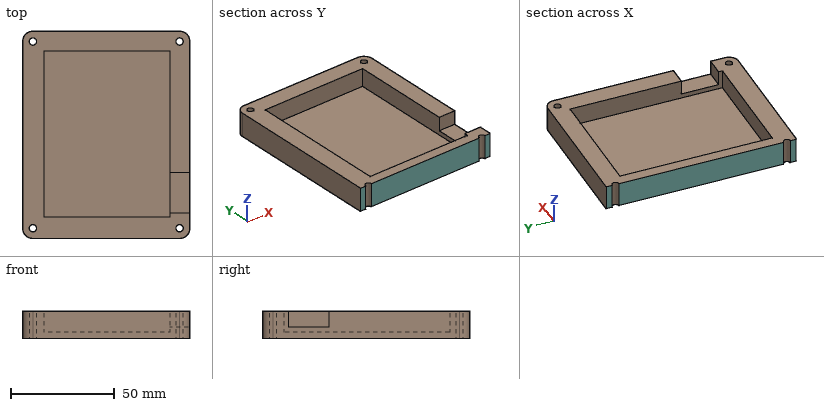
import cadquery as cq

WIDTH = 80.6
LENGTH = 99.8
HEIGHT = 13.2
CORNER_RADIUS = 5.0

HOLE_DIAMETER = 3.4

POCKET_WIDTH = 60.5
POCKET_LENGTH = 79.9
POCKET_DEPTH = 10.0
POCKET_CENTER_X = 0.4
POCKET_CENTER_Y = 0.4

NOTCH_WIDTH = 19.5
NOTCH_DEPTH = 7.6
NOTCH_CENTER_Y = -27.8


def box_below_top(x_min, x_max, center_y, length_y, depth):
    """Box reaching from the top face of the body down to the given depth."""
    return (
        cq.Workplane("XY", origin=((x_min + x_max) / 2, center_y, HEIGHT))
        .rect(x_max - x_min, length_y)
        .extrude(-depth)
    )


body = (
    cq.Workplane("XY")
    .rect(WIDTH, LENGTH)
    .extrude(HEIGHT)
    .edges("|Z")
    .fillet(CORNER_RADIUS)
)

pocket_x_min = POCKET_CENTER_X - POCKET_WIDTH / 2
pocket_x_max = POCKET_CENTER_X + POCKET_WIDTH / 2
pocket = box_below_top(pocket_x_min, pocket_x_max, POCKET_CENTER_Y, POCKET_LENGTH, POCKET_DEPTH)

notch = box_below_top(pocket_x_max, WIDTH / 2, NOTCH_CENTER_Y, NOTCH_WIDTH, NOTCH_DEPTH)

screw_holes = (
    cq.Workplane("XY")
    .rect(WIDTH - 2 * CORNER_RADIUS, LENGTH - 2 * CORNER_RADIUS, forConstruction=True)
    .vertices()
    .circle(HOLE_DIAMETER / 2)
    .extrude(HEIGHT)
)

result = body.cut(pocket).cut(notch).cut(screw_holes)